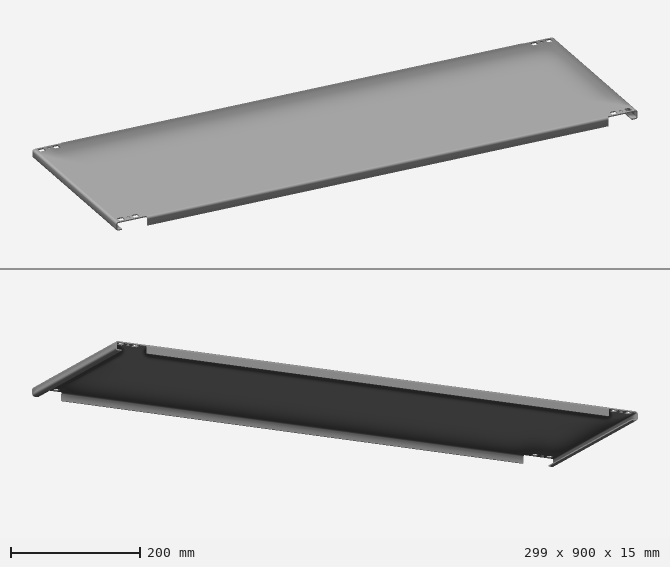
import cadquery as cq

WIDTH = 299.0
LENGTH = 900.0
HEIGHT = 15.0

THICKNESS = 2.0
BEND_RADIUS = 4.0
INNER_RADIUS = BEND_RADIUS - THICKNESS
LIP = 10.0

SIDE_FLANGE_LENGTH = 796.0
PANEL_WIDTH = WIDTH - 2 * BEND_RADIUS

SQUARE_SIZE = 9.5
ROUND_DIAMETER = 6.0
HOLE_EDGE_DISTANCE = 8.0
HOLE_PITCH = 12.5
SQUARE_END_DISTANCES = (HOLE_PITCH, 3 * HOLE_PITCH)
ROUND_END_DISTANCE = 2 * HOLE_PITCH


def prism(plane, width, bottom, top, depth):
    """Block of the given section on a vertical plane, extruded evenly to both sides of it."""
    return (
        cq.Workplane(plane)
        .center(0, (bottom + top) / 2)
        .rect(width, top - bottom)
        .extrude(depth / 2, both=True)
    )


def panel_with_end_flanges():
    """Top sheet whose short ends fold down and then inwards as lips."""
    outer = prism("YZ", LENGTH, -HEIGHT, 0, PANEL_WIDTH)
    outer = outer.edges("|X").fillet(BEND_RADIUS)
    inner = prism("YZ", LENGTH - 2 * THICKNESS, -HEIGHT + THICKNESS, -THICKNESS, PANEL_WIDTH)
    inner = inner.edges("|X").fillet(INNER_RADIUS)
    mouth = prism("YZ", LENGTH - 2 * LIP, -HEIGHT, -THICKNESS, PANEL_WIDTH)
    return outer.cut(inner).cut(mouth)


def side_flanges():
    """Top sheet whose long sides fold straight down, without lips."""
    outer = prism("XZ", WIDTH, -HEIGHT, 0, SIDE_FLANGE_LENGTH)
    outer = outer.edges("|Y and >Z").fillet(BEND_RADIUS)
    inner = prism("XZ", WIDTH - 2 * THICKNESS, -HEIGHT, -THICKNESS, SIDE_FLANGE_LENGTH)
    inner = inner.edges("|Y and >Z").fillet(INNER_RADIUS)
    return outer.cut(inner)


def corner_points(end_distance):
    """The four mirrored hole centres at one distance from the panel's ends."""
    x = PANEL_WIDTH / 2 - HOLE_EDGE_DISTANCE
    y = LENGTH / 2 - end_distance
    return [(x_side * x, y_side * y) for x_side in (-1, 1) for y_side in (-1, 1)]


def cut_corner_holes(panel):
    """Two square holes with a round one between them at each corner, through the top sheet only."""
    sheet_top = cq.Workplane("XY")
    for distance in SQUARE_END_DISTANCES:
        squares = sheet_top.pushPoints(corner_points(distance)).rect(SQUARE_SIZE, SQUARE_SIZE)
        panel = panel.cut(squares.extrude(-THICKNESS))
    rounds = sheet_top.pushPoints(corner_points(ROUND_END_DISTANCE)).circle(ROUND_DIAMETER / 2)
    return panel.cut(rounds.extrude(-THICKNESS))


result = cut_corner_holes(panel_with_end_flanges().union(side_flanges()))